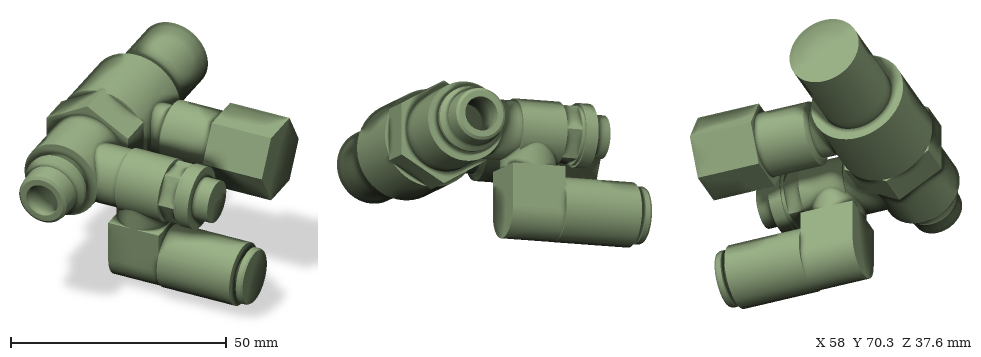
import cadquery as cq
import math


thread_d = 17.3
thread_length = 20.3
barrel_d = 23.0
barrel_length = 17.9
body_hex_flats = 21.0
body_hex_length = 8.1
front_body_d = 18.7
front_body_length = 14.0

stud_neck_d = 13.8
stud_neck_length = 2.15
flange_d = 15.3
flange_length = 1.0
cone_end_d = 12.2
cone_length = 1.65
groove_d = 11.4
groove_length = 0.55
tip_start_d = 12.9
tip_middle_d = 12.7
tip_end_d = 12.2
tip_length = 4.2
tip_face_d = 10.9
tip_chamfer_length = 0.5
stud_bore_d = 8.0

branch_neck_d = front_body_length
branch_neck_end = 14.15
branch_barrel_d = 15.0
branch_barrel_end = 25.1
branch_hex_flats = 12.4
branch_hex_end = 29.0
branch_relief_d = 14.1
branch_relief_end = 29.8
branch_disk_end = 32.8
knob_d = 10.15
knob_end = 36.7

port_y = 23.15
port_neck_d = 12.0
port_neck_end = 13.6
port_chamfer_d = 12.6
port_chamfer_length = 0.8
port_barrel_d = 15.2
port_barrel_end = 26.6
port_hex_flats = 17.0
port_hex_end = 41.85

stub_d = 13.0
stub_x = 18.17
elbow_width = 13.0
elbow_start = 11.93
elbow_top_z = -8.8
elbow_bottom_z = -25.445
tube_d = 15.2
tube_end = 43.55
collar_neck_d = 9.15
collar_neck_end = 44.85
collar_d = 13.5
collar_chamfer_length = 0.5
collar_chamfer_depth = 0.25
collar_end = 46.45

body_hex_y = front_body_length / 2
barrel_y = body_hex_y + body_hex_length
thread_y = barrel_y + barrel_length
thread_end_y = thread_y + thread_length
stud_y = -front_body_length / 2
flange_y = stud_y - stud_neck_length
cone_y = flange_y - flange_length
groove_y = cone_y - cone_length
tip_y = groove_y - groove_length
tip_chamfer_y = tip_y - tip_length
stud_end_y = tip_chamfer_y - tip_chamfer_length


def cylinder_x(diameter, x_start, x_end, y=0, z=0):
    """Cylinder along X between two X positions."""
    plane = cq.Workplane("YZ", origin=(x_start, y, z))
    return plane.circle(diameter / 2).extrude(x_end - x_start)


def cylinder_y(diameter, y_start, y_end):
    """Cylinder on the main axis between two Y positions."""
    plane = cq.Workplane("XZ", origin=(0, y_end, 0))
    return plane.circle(diameter / 2).extrude(y_end - y_start)


def hexagon_x(flats, x_start, x_end, y=0):
    """Hexagonal prism along X with two corners pointing along Y."""
    plane = cq.Workplane("YZ", origin=(x_start, y, 0))
    return plane.polygon(6, flats / math.cos(math.pi / 6)).extrude(x_end - x_start)


def hexagon_y(flats, y_start, y_end):
    """Hexagonal prism on the main axis with two corners pointing along Z."""
    plane = cq.Workplane("XZ", origin=(0, y_end, 0)).transformed(rotate=(0, 0, 90))
    return plane.polygon(6, flats / math.cos(math.pi / 6)).extrude(y_end - y_start)


def make_stud():
    """Turned stud with a blind bore as deep as the stud is long."""
    outline = (
        cq.Workplane("XY")
        .moveTo(0, stud_y)
        .lineTo(stud_neck_d / 2, stud_y)
        .lineTo(stud_neck_d / 2, flange_y)
        .lineTo(flange_d / 2, flange_y)
        .lineTo(flange_d / 2, cone_y)
        .lineTo(cone_end_d / 2, groove_y)
        .lineTo(groove_d / 2, groove_y)
        .lineTo(groove_d / 2, tip_y)
        .lineTo(tip_start_d / 2, tip_y)
        .threePointArc((tip_middle_d / 2, tip_y - tip_length / 2), (tip_end_d / 2, tip_chamfer_y))
        .lineTo(tip_face_d / 2, stud_end_y)
        .lineTo(0, stud_end_y)
        .close()
    )
    stud = outline.revolve(360, (0, 0, 0), (0, 1, 0))
    return stud.cut(cylinder_y(stud_bore_d, stud_end_y, stud_y))


def make_main_run():
    """All features on the main axis: thread, barrel, hexagon, front body and stud."""
    run = cylinder_y(thread_d, thread_y, thread_end_y)
    run = run.union(cylinder_y(barrel_d, barrel_y, thread_y))
    run = run.union(hexagon_y(body_hex_flats, body_hex_y, barrel_y))
    run = run.union(cylinder_y(front_body_d, stud_y, body_hex_y))
    return run.union(make_stud())


def make_lower_branch():
    """Stepped branch with its lock hexagon and knob, and the stub for the elbow."""
    branch = cylinder_x(branch_neck_d, 0, branch_neck_end)
    branch = branch.union(cylinder_x(branch_barrel_d, branch_neck_end, branch_barrel_end))
    branch = branch.union(hexagon_x(branch_hex_flats, branch_barrel_end, branch_hex_end))
    branch = branch.union(cylinder_x(branch_relief_d, branch_hex_end, branch_relief_end))
    branch = branch.union(cylinder_x(branch_barrel_d, branch_relief_end, branch_disk_end))
    branch = branch.union(cylinder_x(knob_d, branch_disk_end, knob_end))
    stub = cq.Workplane("XY", origin=(stub_x, 0, 0)).circle(stub_d / 2).extrude(elbow_top_z)
    return branch.union(stub)


def make_port_branch():
    """Upper branch: neck, barrel with a chamfered near end, and hexagonal nut."""
    branch = cylinder_x(port_neck_d, 0, port_neck_end, port_y)
    barrel = cylinder_x(port_barrel_d, port_neck_end, port_barrel_end, port_y)
    chamfer_depth = (port_barrel_d - port_chamfer_d) / 2
    cutter = (
        cq.Workplane("XY")
        .moveTo(port_neck_end, port_y + port_barrel_d / 2)
        .lineTo(port_neck_end, port_y + port_barrel_d / 2 - chamfer_depth)
        .lineTo(port_neck_end + port_chamfer_length, port_y + port_barrel_d / 2)
        .close()
        .revolve(360, (0, port_y, 0), (1, port_y, 0))
    )
    branch = branch.union(barrel.cut(cutter))
    return branch.union(hexagon_x(port_hex_flats, port_barrel_end, port_hex_end, port_y))


def make_housing():
    """Main run with both branches, joined into one solid."""
    return make_main_run().union(make_port_branch()).union(make_lower_branch())


def make_elbow():
    """Round-bottomed block with a push-in tube barrel and its release collar."""
    half_width = elbow_width / 2
    arc_z = elbow_bottom_z + half_width
    elbow_end = elbow_start + elbow_width
    tube_z = elbow_bottom_z + tube_d / 2
    elbow = (
        cq.Workplane("YZ", origin=(elbow_start, 0, 0))
        .moveTo(-half_width, elbow_top_z)
        .lineTo(-half_width, arc_z)
        .threePointArc((0, elbow_bottom_z), (half_width, arc_z))
        .lineTo(half_width, elbow_top_z)
        .close()
        .extrude(elbow_width)
    )
    elbow = elbow.union(cylinder_x(tube_d, elbow_end, tube_end, z=tube_z))
    elbow = elbow.union(cylinder_x(collar_neck_d, tube_end, collar_neck_end, z=tube_z))
    collar = cylinder_x(collar_d, collar_neck_end, collar_end, z=tube_z)
    return elbow.union(collar.faces(">X").chamfer(collar_chamfer_length, collar_chamfer_depth))


housing = make_housing()
elbow = make_elbow()
result = cq.Compound.makeCompound([housing.val(), elbow.val()])